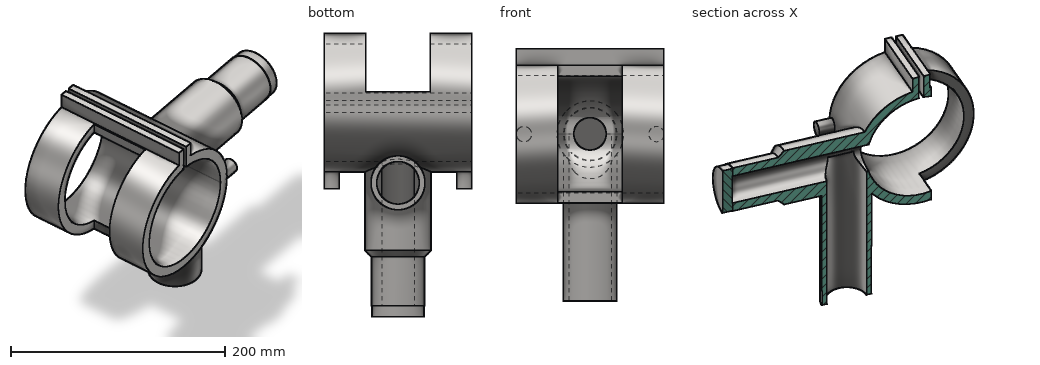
import cadquery as cq

clamp_length = 138.0
ring_outer_radius = 65.0
ring_wall = 10.0
ring_inner_radius = ring_outer_radius - ring_wall

split_width = 4.2
lug_outer_width = 18.0
lug_top = 79.5

window_width = 59.9
window_back = -10.0

pin_radius = 7.2
pin_tip = 80.5
pin_spacing = clamp_length - 2 * pin_radius

arm_radius = 31.0
arm_shoulder = 138.0
neck_radius = 25.0
neck_start = arm_shoulder + arm_radius - neck_radius

cap_radius = 24.5
cap_length = 10.0
overall_length = 265
cap_end = overall_length - ring_outer_radius
arm_end = cap_end - cap_length

bore_radius = 15.0

post_radius = 25.2
post_bore_radius = 19.9
post_y = 75.0
overall_height = 235.5
post_bottom = lug_top - overall_height


def cylinder_y(radius, start, end, x=0):
    """Cylinder along Y between two Y positions."""
    base = cq.Workplane("XZ", origin=(x, start, 0))
    return base.circle(radius).extrude(start - end)


def cylinder_x(radius):
    """Cylinder as long as the clamp, about the ring axis."""
    return cq.Workplane("YZ").circle(radius).extrude(clamp_length / 2, both=True)


def post_cylinder(radius):
    """Cylinder about the post axis, from the arm axis down to the post bottom."""
    return cq.Workplane("XY", origin=(0, post_y, 0)).circle(radius).extrude(post_bottom)


def lug_block(width):
    """Block as long as the clamp, from the ring axis up to the lug top."""
    return cq.Workplane("XY").box(clamp_length, width, lug_top, centered=(True, True, False))


def make_arm():
    """Arm with a chamfered shoulder and a narrower neck."""
    profile = [
        (0, 0),
        (arm_radius, 0),
        (arm_radius, arm_shoulder),
        (neck_radius, neck_start),
        (neck_radius, arm_end),
        (0, arm_end),
    ]
    return cq.Workplane("XY").polyline(profile).close().revolve(360, (0, 0, 0), (0, 1, 0))


def make_window():
    """Block that opens the front half of the ring between its two bands."""
    depth = ring_outer_radius + window_back
    window = cq.Workplane("XY").box(window_width, depth, 2 * ring_outer_radius)
    return window.translate((0, window_back - depth / 2, 0))


def make_clamp():
    """Split ring carrying the lugs, pins, bored arm and bored post."""
    clamp = cylinder_x(ring_outer_radius).union(lug_block(lug_outer_width))

    for x in (-pin_spacing / 2, pin_spacing / 2):
        clamp = clamp.union(cylinder_y(pin_radius, 0, pin_tip, x))

    clamp = clamp.union(make_arm()).union(post_cylinder(post_radius))

    clamp = clamp.cut(cylinder_x(ring_inner_radius))
    clamp = clamp.cut(lug_block(split_width))
    clamp = clamp.cut(make_window())
    clamp = clamp.cut(cylinder_y(bore_radius, 0, arm_end))
    return clamp.cut(post_cylinder(post_bore_radius))


def make_cap():
    """Plain disc that closes the end of the arm."""
    return cylinder_y(cap_radius, arm_end, cap_end)


clamp = make_clamp()
cap = make_cap()

result = cq.Compound.makeCompound([clamp.val(), cap.val()])